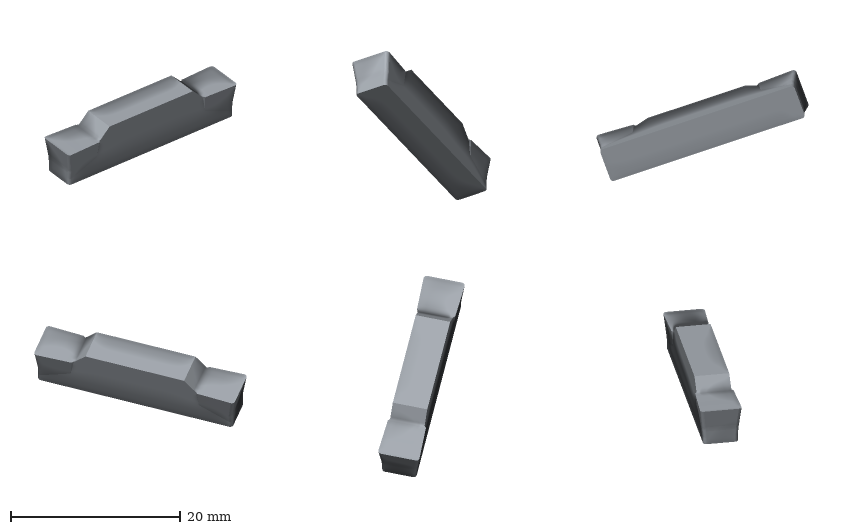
import cadquery as cq
import math

length = 25.07
height = 5.97
core_width = 4.19
head_width = 5.0

seat_height = 4.6
end_relief = 0.35
relief_height = 2.0
relief_blend_radius = 4.25

ridge_inset = 6.37
ramp_blend_radius = 0.6

rim_width = 0.38
rim_rise = 0.03
front_step_end = 1.45
front_step_start = 2.5
front_step = 0.008
back_step_end = 4.0
back_step_start = 4.5
back_step = 0.013
land_height = seat_height - rim_rise
foot_height = land_height - front_step - back_step
ramp_foot_inset = ridge_inset - (height - foot_height)

side_draft = math.tan(math.radians(5.9))
back_taper = math.tan(math.radians(2.4))
head_length = 4.7
head_back_lean = 0.08
shoulder_run = 0.35
corner_radius = 0.4

core_steps = [
    (0, 1.5),
    (1.25, 3.0),
    (back_step_start, height),
]

half_length = length / 2
core_half_width = core_width / 2
sharp_half_width = head_width / 2 + back_taper * corner_radius + side_draft * rim_rise


def make_profile_block():
    """Side profile of the whole part, extruded wider than the heads."""
    foot_end = half_length - end_relief
    ramp_foot = half_length - ramp_foot_inset
    half_block = (
        cq.Workplane("YZ")
        .moveTo(0, 0)
        .lineTo(0, height)
        .lineTo(half_length - ridge_inset, height)
        .lineTo(ramp_foot, foot_height)
        .lineTo(half_length - back_step_start, foot_height)
        .spline(
            [(half_length - back_step_end, foot_height + back_step)],
            tangents=[(1, 0), (1, 0)],
            includeCurrent=True,
        )
        .lineTo(half_length - front_step_start, foot_height + back_step)
        .lineTo(half_length - front_step_end, land_height)
        .lineTo(half_length - rim_width, land_height)
        .threePointArc(
            (half_length - rim_width / 2, land_height + rim_rise / 4),
            (half_length, seat_height),
        )
        .lineTo(foot_end, relief_height)
        .lineTo(foot_end, 0)
        .close()
        .extrude(head_width, both=True)
    )
    relief_edge = cq.selectors.NearestToPointSelector((0, foot_end, relief_height))
    half_block = half_block.edges("|X").edges(relief_edge).fillet(relief_blend_radius)
    ramp_edge = cq.selectors.NearestToPointSelector((0, ramp_foot, foot_height))
    half_block = half_block.edges("|X").edges(ramp_edge).fillet(ramp_blend_radius)
    return half_block.union(half_block.mirror("XZ"))


def head_section(z):
    """Horizontal section of the head at the -Y end, oversized past the end face."""
    depth = seat_height - z
    back = -half_length + head_length - head_back_lean * depth
    end_half_width = sharp_half_width - side_draft * depth
    back_half_width = end_half_width - back_taper * head_length
    core_start = back + shoulder_run
    shoulder_half_width = back_half_width - shoulder_run
    right_side = [
        (end_half_width, -half_length),
        (back_half_width, back),
        (shoulder_half_width, core_start),
    ]
    left_side = [(-x, y) for x, y in reversed(right_side)]
    points = [cq.Vector(x, y, z) for x, y in right_side + left_side]
    return cq.Wire.makePolygon(points, close=True)


def make_head():
    """Head envelope from the bottom plane up to the seat."""
    return cq.Workplane(cq.Solid.makeLoft([head_section(0), head_section(seat_height)], True))


def make_core():
    """Parallel-sided envelope, stepping up inside the heads so that only they form the seats."""
    core = cq.Workplane()
    for end_inset, top in core_steps:
        step_length = length - 2 * end_inset
        core = core.union(cq.Workplane().box(core_width, step_length, top, centered=(True, True, False)))
    return core


def round_corners(body, end):
    """Round the two upright corners of one end; each is a smooth chain of edges."""
    face_y = end * (half_length - end_relief)
    for side in (-1, 1):
        corner = cq.selectors.NearestToPointSelector((side * core_half_width, face_y, foot_height / 4))
        body = body.edges("not(#Z)").edges(corner).fillet(corner_radius)
    return body


profile_block = make_profile_block()
core = round_corners(round_corners(profile_block.intersect(make_core()), -1), 1)
head = round_corners(profile_block.intersect(make_head()), -1)
result = core.union(head).union(head.mirror("XZ"))